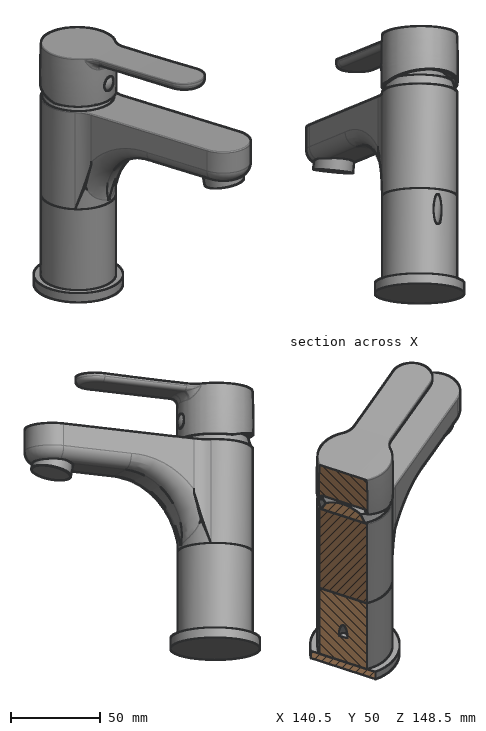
import cadquery as cq
import math

flange_height = 5.8
base_top = 55.5
column_top = 115.5
collar_edge_z = 121.0
handle_bottom = 118.7
handle_top = 148.5

flange_diameter = 50.0
flange_radius = flange_diameter / 2
column_radius = 21.1
top_edge_fillet = 0.6
cutter_reach = flange_diameter

rod_hole_radius = 2.5
rod_hole_z = 44.1
rod_hole_tilt = 17.0
rod_hole_depth = 20.8

spout_half_width = 15.5
spout_reach = 115.5
spout_tip_x = spout_reach - spout_half_width
spout_underside = 95.0
spout_edge_fillet = 7.5
web_top_z = 84.6
web_plan_radius = 17.8
throat_radius = 37.4
throat_z = spout_underside - throat_radius
throat_x = column_radius + throat_radius
throat_sections = 6
trim_margin = 1.5
throat_flat = 0.1
throat_bottom_round = spout_half_width - throat_flat

aerator_radius = 11.3
aerator_x = 100.8
aerator_bottom = 90.3
aerator_length = 10.4
aerator_tilt = 12.0
aerator_chamfer = 0.3

collar_bottom_radius = 20.2
collar_edge_radius = 18.5
collar_cap_rise = 4.5
collar_top = collar_edge_z + collar_cap_rise

handle_top_radius = 21.0
handle_belly_radius = 21.4
handle_bottom_radius = 21.2
handle_rim_wall = 1.0
socket_radius = handle_bottom_radius - handle_rim_wall
handle_belly_z = 126.2
handle_back_z = 124.1
handle_slope_end_x = -1.2
lever_half_width = 11.6
lever_reach = 84.6
lever_tip_x = lever_reach - lever_half_width
lever_bottom = 143.6
lever_bottom_fillet = 2.8
lever_plan_radius = 11.9
lever_root_radius = 3.9
lever_top_fillet = 0.5
dish_sag = 0.6

button_radius = 4.3
button_z = 128.9
button_seat_x = socket_radius
button_rim_x = 21.2
button_crown_x = 22.7
button_crown = button_crown_x - button_rim_x
button_dome_radius = (button_radius ** 2 + button_crown ** 2) / (2 * button_crown)


def blend_end_x(circle_radius, half_width, blend_radius):
    """X where a concave blend between a circle and a strip meets the strip's side."""
    return math.sqrt((circle_radius + blend_radius) ** 2 - (half_width + blend_radius) ** 2)


def blend_wedges(circle_radius, half_width, blend_radius, z_low, z_high):
    """Both concave corner fillings between a round column and a strip along +X."""
    end_x = blend_end_x(circle_radius, half_width, blend_radius)
    centre_y = half_width + blend_radius
    wedges = (
        cq.Workplane("XY", origin=(0, 0, z_low))
        .polyline([(0, -centre_y), (end_x, -centre_y), (end_x, centre_y), (0, centre_y)])
        .close()
        .extrude(z_high - z_low)
    )
    for side in (1, -1):
        relief = (
            cq.Workplane("XY", origin=(end_x, side * centre_y, z_low))
            .circle(blend_radius)
            .extrude(z_high - z_low)
        )
        wedges = wedges.cut(relief)
    contact = circle_radius / (circle_radius + blend_radius)
    keep = (
        cq.Workplane("XY", origin=(0, 0, z_low))
        .polyline([
            (0, 0),
            (end_x * contact, -centre_y * contact),
            (end_x, -centre_y),
            (end_x, centre_y),
            (end_x * contact, centre_y * contact),
        ])
        .close()
        .extrude(z_high - z_low)
    )
    return wedges.intersect(keep)


def tongue(start_x, tip_x, half_width, z_low, z_high):
    """Strip along +X with a half-round end."""
    return (
        cq.Workplane("XY", origin=(0, 0, z_low))
        .moveTo(start_x, -half_width)
        .lineTo(tip_x, -half_width)
        .threePointArc((tip_x + half_width, 0), (tip_x, half_width))
        .lineTo(start_x, half_width)
        .close()
        .extrude(z_high - z_low)
    )


def make_flange():
    return cq.Workplane("XY").circle(flange_radius).extrude(flange_height)


def make_base():
    column = (
        cq.Workplane("XY", origin=(0, 0, flange_height))
        .circle(column_radius)
        .extrude(base_top - flange_height)
    )
    tilt = math.radians(rod_hole_tilt)
    inward = cq.Vector(math.sin(tilt), 0, -math.cos(tilt))
    mouth = cq.Vector(-column_radius, 0, rod_hole_z)
    rod_hole = cq.Solid.makeCylinder(
        rod_hole_radius, 2 * rod_hole_depth, mouth - inward * rod_hole_depth, inward
    )
    return column.cut(cq.Workplane(rod_hole))


def throat_corner_section(angle, side):
    """Wire of the material to trim off one lower corner, at an angle around the throat centre.

    The corner radius shrinks from nearly a half circle at the column to the spout edge fillet.
    """
    share = angle / 90.0
    corner = throat_bottom_round + (spout_edge_fillet - throat_bottom_round) * math.sqrt(share)
    bend = corner * (1 - math.sqrt(0.5))
    near = throat_radius
    edge = spout_half_width
    turn = math.radians(angle)
    outward = cq.Vector(-math.cos(turn), 0, math.sin(turn))
    across = cq.Vector(0, side, 0)
    plane = cq.Plane(
        origin=(throat_x, 0, throat_z),
        xDir=outward,
        normal=outward.cross(across),
    )
    return (
        cq.Workplane(plane)
        .moveTo(near, edge - corner)
        .threePointArc((near + bend, edge - bend), (near + corner, edge))
        .lineTo(near + corner, edge + trim_margin)
        .lineTo(near - trim_margin, edge + trim_margin)
        .lineTo(near - trim_margin, edge - corner)
        .close()
        .wire()
        .val()
    )


def make_spout_throat():
    """Curved stretch running from the column into the straight spout, with rounded lower corners."""
    mid_arc = throat_radius * math.sqrt(0.5)
    throat = (
        cq.Workplane("XZ", origin=(0, spout_half_width, 0))
        .moveTo(0, throat_z)
        .lineTo(column_radius, throat_z)
        .threePointArc((throat_x - mid_arc, throat_z + mid_arc), (throat_x, spout_underside))
        .lineTo(throat_x, column_top)
        .lineTo(0, column_top)
        .close()
        .extrude(2 * spout_half_width)
    )
    step = 90.0 / (throat_sections - 1)
    for side in (1, -1):
        wires = [throat_corner_section(step * i, side) for i in range(throat_sections)]
        throat = throat.cut(cq.Workplane(cq.Solid.makeLoft(wires)))
    return throat


def make_spout_webs():
    """Concave corners beside the spout, cut away below a slope that starts at the base."""
    end_x = blend_end_x(column_radius, spout_half_width, web_plan_radius)
    start_x = end_x * column_radius / (column_radius + web_plan_radius)
    webs = blend_wedges(column_radius, spout_half_width, web_plan_radius, base_top, column_top)
    below_slope = (
        cq.Workplane("XZ")
        .polyline([(start_x, base_top), (end_x, base_top), (end_x, web_top_z)])
        .close()
        .extrude(cutter_reach, both=True)
    )
    return webs.cut(below_slope)


def make_spout_body(aerator):
    column = (
        cq.Workplane("XY", origin=(0, 0, base_top))
        .circle(column_radius)
        .extrude(column_top - base_top)
    )
    spout = tongue(throat_x, spout_tip_x, spout_half_width, spout_underside, column_top)
    spout = spout.faces("<Z").edges("not <X").fillet(spout_edge_fillet)
    body = column.union(make_spout_throat()).union(spout).union(make_spout_webs()).clean()
    body = body.faces(">Z").edges().fillet(top_edge_fillet)
    return body.cut(aerator)


def make_aerator():
    tilt = math.radians(aerator_tilt)
    upward = (-math.sin(tilt), 0, math.cos(tilt))
    face = cq.Plane(origin=(aerator_x, 0, aerator_bottom), xDir=(0, 1, 0), normal=upward)
    return (
        cq.Workplane(face)
        .circle(aerator_radius)
        .extrude(aerator_length)
        .faces("<Z")
        .chamfer(aerator_chamfer)
    )


def make_collar():
    return (
        cq.Workplane("XZ")
        .moveTo(0, column_top)
        .lineTo(collar_bottom_radius, column_top)
        .lineTo(collar_edge_radius, collar_edge_z)
        .lineTo(collar_edge_radius - collar_cap_rise, collar_top)
        .lineTo(0, collar_top)
        .close()
        .revolve(360, (0, 0), (0, 1))
    )


def make_handle(button):
    grip = (
        cq.Workplane("XZ")
        .moveTo(0, handle_bottom)
        .lineTo(handle_bottom_radius, handle_bottom)
        .threePointArc((handle_belly_radius, handle_belly_z), (handle_top_radius, handle_top))
        .lineTo(0, handle_top)
        .close()
        .revolve(360, (0, 0), (0, 1))
    )
    lever = tongue(0, lever_tip_x, lever_half_width, lever_bottom, handle_top)
    webs = blend_wedges(handle_top_radius, lever_half_width, lever_plan_radius, lever_bottom, handle_top)
    lever = lever.union(webs).clean().faces("<Z").edges("not <X").fillet(lever_bottom_fillet)
    handle = grip.union(lever)
    handle = handle.edges("%BSPLINE").fillet(lever_root_radius)

    middle_x = (lever_reach - handle_top_radius) / 2
    half_length = (lever_reach + handle_top_radius) / 2
    dish_radius = (half_length ** 2 + dish_sag ** 2) / (2 * dish_sag)
    dish = (
        cq.Workplane("XZ", origin=(middle_x, 0, handle_top - dish_sag + dish_radius))
        .circle(dish_radius)
        .extrude(cutter_reach, both=True)
    )
    handle = handle.cut(dish)
    handle = handle.faces(cq.selectors.NearestToPointSelector((middle_x, 0, handle_top))).edges()
    handle = handle.fillet(lever_top_fillet)

    rim_slope = (
        cq.Workplane("XZ")
        .polyline([
            (handle_slope_end_x, handle_bottom),
            (-handle_belly_radius, handle_back_z),
            (-flange_radius, handle_back_z),
            (-flange_radius, handle_bottom),
        ])
        .close()
        .extrude(cutter_reach, both=True)
    )

    socket = (
        cq.Workplane("XY", origin=(0, 0, handle_bottom))
        .circle(socket_radius)
        .extrude(collar_top - handle_bottom)
    )
    return handle.cut(rim_slope).cut(socket).cut(button)


def make_button():
    """Domed button on the front of the handle, turned about a horizontal axis."""
    return (
        cq.Workplane("XZ")
        .moveTo(button_seat_x, button_z)
        .lineTo(button_seat_x, button_z + button_radius)
        .lineTo(button_rim_x, button_z + button_radius)
        .radiusArc((button_crown_x, button_z), button_dome_radius)
        .close()
        .revolve(360, (0, button_z), (1, button_z))
    )


flange = make_flange()
base = make_base()
aerator = make_aerator()
spout_body = make_spout_body(aerator)
collar = make_collar()
button = make_button()
handle = make_handle(button)

result = cq.Compound.makeCompound([
    flange.val(),
    base.val(),
    spout_body.val(),
    aerator.val(),
    collar.val(),
    handle.val(),
    button.val(),
])